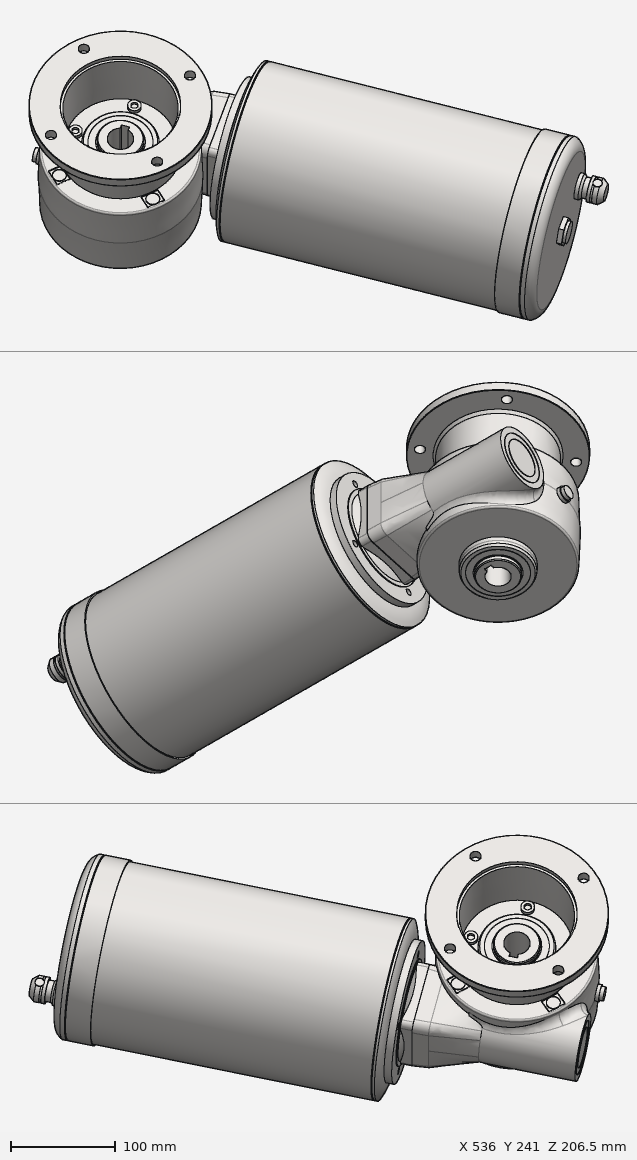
import cadquery as cq
import math


FLANGE_D = 175.0
FLANGE_TOP = 116.0
FLANGE_THICK = 11.0
FLANGE_BOLT_CIRCLE_D = 150.0
FLANGE_HOLE_D = 10.5
FLANGE_CHAMFER = 0.5
SPIGOT_D = 115.0
SPIGOT_DEPTH = 5.0
TUBE_TOP_R = 59.7
TUBE_BASE_R = 59.0
TUBE_COLLAR_R = 62.0
TUBE_COLLAR_DROP = 3.5
TUBE_BORE_TOP_R = 55.0
TUBE_BORE_BASE_R = 53.5
TUBE_FLOOR_Z = 52.0

HOUSING_MID_R = 78.7
HOUSING_END_R = 77.2
HOUSING_HALF_HEIGHT = 45.0
HOUSING_FILLET = 2.0

COVER_D = 75.0
COVER_Z = 56.0
COVER_TAPER_Z = 50.0
COVER_TAPER_R = 37.0
COVER_RIM_Z = 53.3
COVER_FACE_R = 35.5
SEAL_OUTER_D = 62.0
SEAL_INNER_D = 47.5
SEAL_DEPTH = 0.5
SHAFT_D = 45.0
SHAFT_Z = 61.0
SHAFT_CHAMFER = 1.0
SHAFT_BORE_D = 25.0
KEY_WIDTH = 8.0
KEY_TOP = 15.8

INNER_SCREW_CIRCLE_R = 45.0
INNER_SCREW_HEAD_D = 13.0
INNER_SCREW_TOP_Z = 56.0
INNER_SCREW_SOCKET_D = 7.0
SOCKET_DEPTH = 3.0
NOTCH_CIRCLE_R = 66.0
NOTCH_WIDTH = 18.0
NOTCH_LENGTH = 14.0
NOTCH_DEPTH = 1.5
NOTCH_SCREW_D = 13.4
NOTCH_SCREW_HEIGHT = 1.0

PLUG_D = 16.66
PLUG_ROOT_X = -70.0
PLUG_HEAD_X = -86.0
PLUG_FLANGE_X = -82.0
PLUG_HEAD_D = 14.0

MOTOR_Y = 63.0
WORM_R = 33.0
WORM_END_X = -79.5
WORM_BLEND_R = 10.0
WORM_CORE_HALF_HEIGHT = 60.0
WORM_BLEND_HALF_HEIGHT = 43.0
WORM_BLEND_END_X = 30.0
CAP_OUTER_R = 26.5
CAP_INNER_R = 20.0
CAP_GROOVE_DEPTH = 0.5
LOFT_START_X = 15.0
NECK_START_X = 63.0
NECK_SEAM_X = 79.0
NECK_START_HALF = 37.5
NECK_HALF = 38.5
NECK_REDUCED_HALF = 37.5
NECK_CORNER_R = 9.5
NECK_REDUCED_CORNER_R = 6.0
FLARE_START_X = 86.0
FLARE_START_R = 35.0
FLARE_BASE_X = 90.5
FLARE_R = 47.5
SHOULDER_R = 52.5

PLATE_X = 91.5
PLATE_R = 70.0
COVER_START_X = 99.0
COVER_ROUND_MID = (100.6, 80.5)
MOTOR_R = 89.0
MOTOR_EDGE_X = 104.0
SEAM_WIDTH = 1.0
SEAM_DEPTH = 0.4
FRONT_SEAM_X = 106.5
REAR_SEAM_X = 406.5
END_CAP_X = 382.0
END_CAP_R = 90.5
END_CAP_ROUND_X = 412.0
END_FACE_X = 420.5
END_FACE_R = 78.0
END_CAP_ROUND_MID = (418.0, 85.5)
PLATE_HOLE_OFFSET = 41.0
PLATE_HOLE_D = 7.0
PLATE_HOLE_DEPTH = 6.0

CONNECTOR_Y = 118.0
CONNECTOR_END_X = 448.5
CONNECTOR_R = 13.0
CONNECTOR_NECK_R = 10.5
CONNECTOR_TIP_R = 8.5
CONNECTOR_GROOVE_R = 12.5
CONNECTOR_COLLAR_X = 424.5
CONNECTOR_NECK_X = 427.0
CONNECTOR_RING_X = 432.5
CONNECTOR_GROOVE_X = 436.0
CONNECTOR_NUT_X = 438.0
CONNECTOR_TAPER_X = 443.0
CONNECTOR_PIN_X = 440.0
CONNECTOR_PIN_D = 9.0
HEX_ACROSS_FLATS = 26.0
HEX_HEIGHT = 5.0
HEX_CAP_R = 11.0
HEX_CAP_HEIGHT = 3.0


def disc(radius, z_low, z_high):
    """Cylinder on the output axis between two heights."""
    return cq.Workplane("XY").workplane(offset=z_low).circle(radius).extrude(z_high - z_low)


def revolve_z(points):
    """Revolve an (r, z) outline about the output axis."""
    return cq.Workplane("XZ").polyline(points).close().revolve(360, (0, 0, 0), (0, 1, 0))


def x_plane(x, y=MOTOR_Y):
    """Workplane facing +X, centred on an axis parallel to the motor axis."""
    return cq.Workplane("YZ", origin=(x, y, 0))


def rod(radius, x_low, x_high, y=MOTOR_Y):
    """Cylinder along X between two stations, its seam on the +Z side."""
    plane = cq.Plane(origin=(x_low, y, 0), xDir=(0, 0, 1), normal=(1, 0, 0))
    return cq.Workplane(plane).circle(radius).extrude(x_high - x_low)


def revolve_x(points, y=MOTOR_Y):
    """Revolve an (x, r) outline about an axis parallel to the motor axis."""
    profile = cq.Workplane("XY", origin=(0, y, 0)).polyline(points).close()
    return profile.revolve(360, (0, 0, 0), (1, 0, 0))


def polar_points(radius, start_angle):
    """Four equally spaced points on a circle about the output axis."""
    angles = [math.radians(start_angle + 90 * i) for i in range(4)]
    return [(radius * math.cos(a), radius * math.sin(a)) for a in angles]


def make_housing():
    """Gear housing, widest at the parting plane, with rounded rims."""
    h = HOUSING_HALF_HEIGHT
    housing = revolve_z([
        (0, -h),
        (HOUSING_END_R, -h),
        (HOUSING_MID_R, 0),
        (HOUSING_END_R, h),
        (0, h),
    ])
    return housing.faces("<Z or >Z").edges().fillet(HOUSING_FILLET)


def make_worm_housing():
    """Cylinder around the worm, filleted against the gear housing."""
    core = disc(HOUSING_END_R, -WORM_CORE_HALF_HEIGHT, WORM_CORE_HALF_HEIGHT)
    blended = core.union(rod(WORM_R, WORM_END_X, PLATE_X))
    crossing = blended.edges("not(%CIRCLE or %LINE)")
    blended = crossing.fillet(WORM_BLEND_R)
    keep_length = WORM_BLEND_END_X - WORM_END_X
    keep = cq.Workplane("XY").box(
        keep_length, 2 * FLANGE_D, 2 * WORM_BLEND_HALF_HEIGHT, centered=(False, True, True)
    )
    blended = blended.intersect(keep.translate((WORM_END_X, 0, 0)))
    cap_groove = rod(CAP_OUTER_R, WORM_END_X, WORM_END_X + CAP_GROOVE_DEPTH)
    cap_groove = cap_groove.cut(rod(CAP_INNER_R, WORM_END_X, WORM_END_X + CAP_GROOVE_DEPTH))
    return blended.cut(cap_groove)


def square_sketch(half, corner_r=NECK_CORNER_R, x_offset=0.0):
    """Rounded square, optionally shifted along its normal."""
    square = cq.Sketch().rect(2 * half, 2 * half).vertices().fillet(corner_r)
    return square.moved(cq.Location(cq.Vector(0, 0, x_offset)))


def make_neck():
    """Square neck growing out of the worm housing, ending in a round shoulder."""
    worm_circle = cq.Sketch().circle(WORM_R)
    neck = x_plane(LOFT_START_X).placeSketch(
        worm_circle,
        square_sketch(NECK_START_HALF, x_offset=NECK_START_X - LOFT_START_X),
    ).loft()
    block_length = NECK_SEAM_X - NECK_START_X
    block = x_plane(NECK_START_X).placeSketch(
        square_sketch(NECK_START_HALF),
        square_sketch(NECK_HALF, x_offset=block_length),
    ).loft()
    reduced_length = PLATE_X - NECK_SEAM_X
    reduced_square = square_sketch(NECK_REDUCED_HALF, NECK_REDUCED_CORNER_R)
    reduced = x_plane(NECK_SEAM_X).placeSketch(reduced_square).extrude(reduced_length)
    shoulder = revolve_x([
        (FLARE_START_X, 0),
        (FLARE_START_X, FLARE_START_R),
        (FLARE_BASE_X, FLARE_R),
        (FLARE_BASE_X, SHOULDER_R),
        (PLATE_X, SHOULDER_R),
        (PLATE_X, 0),
    ])
    return neck.union(block).union(reduced).union(shoulder)


def make_motor():
    """Motor tube with its front plate and rounded end cap."""
    profile = (
        cq.Workplane("XY", origin=(0, MOTOR_Y, 0))
        .moveTo(PLATE_X, 0)
        .lineTo(PLATE_X, PLATE_R)
        .lineTo(COVER_START_X, PLATE_R)
        .threePointArc(COVER_ROUND_MID, (MOTOR_EDGE_X, MOTOR_R))
        .lineTo(END_CAP_X, MOTOR_R)
        .lineTo(END_CAP_X, END_CAP_R)
        .lineTo(END_CAP_ROUND_X, END_CAP_R)
        .threePointArc(END_CAP_ROUND_MID, (END_FACE_X, END_FACE_R))
        .lineTo(END_FACE_X, 0)
        .close()
    )
    motor = profile.revolve(360, (0, 0, 0), (1, 0, 0))
    for seam_x, radius in ((FRONT_SEAM_X, MOTOR_R), (REAR_SEAM_X, END_CAP_R)):
        ring = rod(radius + SEAM_DEPTH, seam_x, seam_x + SEAM_WIDTH)
        ring = ring.cut(rod(radius - SEAM_DEPTH, seam_x, seam_x + SEAM_WIDTH))
        motor = motor.cut(ring)
    spacing = 2 * PLATE_HOLE_OFFSET
    holes = (
        x_plane(PLATE_X)
        .rarray(spacing, spacing, 2, 2)
        .circle(PLATE_HOLE_D / 2)
        .extrude(PLATE_HOLE_DEPTH)
    )
    return motor.cut(holes)


def make_connector():
    """Turned cable connector with a round key button on its top side."""
    connector = revolve_x([
        (END_FACE_X, 0),
        (END_FACE_X, CONNECTOR_R),
        (CONNECTOR_COLLAR_X, CONNECTOR_R),
        (CONNECTOR_NECK_X, CONNECTOR_NECK_R),
        (CONNECTOR_RING_X, CONNECTOR_NECK_R),
        (CONNECTOR_RING_X, CONNECTOR_R),
        (CONNECTOR_GROOVE_X, CONNECTOR_R),
        (CONNECTOR_GROOVE_X, CONNECTOR_GROOVE_R),
        (CONNECTOR_NUT_X, CONNECTOR_GROOVE_R),
        (CONNECTOR_NUT_X, CONNECTOR_R),
        (CONNECTOR_TAPER_X, CONNECTOR_R),
        (CONNECTOR_END_X, CONNECTOR_TIP_R),
        (CONNECTOR_END_X, 0),
    ], CONNECTOR_Y)
    button = cq.Workplane("XY", origin=(CONNECTOR_PIN_X, CONNECTOR_Y, 0))
    button = button.circle(CONNECTOR_PIN_D / 2).extrude(CONNECTOR_R)
    return connector.union(button)


def make_hex_plug():
    """Hexagonal plug with a round cap at the centre of the motor end."""
    corner_diameter = HEX_ACROSS_FLATS / math.cos(math.pi / 6)
    plug = x_plane(END_FACE_X).polygon(6, corner_diameter).extrude(HEX_HEIGHT)
    cap_x = END_FACE_X + HEX_HEIGHT
    return plug.union(rod(HEX_CAP_R, cap_x, cap_x + HEX_CAP_HEIGHT))


def make_flange():
    """Output flange on its drafted tube, open at the top."""
    flange_bottom = FLANGE_TOP - FLANGE_THICK
    collar_bottom = flange_bottom - TUBE_COLLAR_DROP
    flange = disc(FLANGE_D / 2, flange_bottom, FLANGE_TOP)
    flange = flange.faces("<Z or >Z").edges().chamfer(FLANGE_CHAMFER)
    tube = revolve_z([
        (0, HOUSING_HALF_HEIGHT),
        (TUBE_BASE_R, HOUSING_HALF_HEIGHT),
        (TUBE_TOP_R, collar_bottom),
        (TUBE_COLLAR_R, flange_bottom),
        (0, flange_bottom),
    ])
    spigot_bottom = FLANGE_TOP - SPIGOT_DEPTH
    bore = revolve_z([
        (0, TUBE_FLOOR_Z),
        (TUBE_BORE_BASE_R, TUBE_FLOOR_Z),
        (TUBE_BORE_TOP_R, spigot_bottom),
        (SPIGOT_D / 2, spigot_bottom),
        (SPIGOT_D / 2, FLANGE_TOP),
        (0, FLANGE_TOP),
    ])
    bolt_holes = (
        cq.Workplane("XY", origin=(0, 0, flange_bottom))
        .pushPoints(polar_points(FLANGE_BOLT_CIRCLE_D / 2, 45))
        .circle(FLANGE_HOLE_D / 2)
        .extrude(FLANGE_THICK)
    )
    return flange.union(tube).cut(bore).cut(bolt_holes)


def make_inner_screws():
    """Socket head screws on the tube floor around the bearing cover."""
    places = polar_points(INNER_SCREW_CIRCLE_R, 0)
    height = INNER_SCREW_TOP_Z - TUBE_FLOOR_Z
    heads = cq.Workplane("XY", origin=(0, 0, TUBE_FLOOR_Z)).pushPoints(places)
    heads = heads.circle(INNER_SCREW_HEAD_D / 2).extrude(height)
    sockets = cq.Workplane("XY", origin=(0, 0, INNER_SCREW_TOP_Z)).pushPoints(places)
    sockets = sockets.circle(INNER_SCREW_SOCKET_D / 2).extrude(-SOCKET_DEPTH)
    return heads.cut(sockets)


def make_bearing_cover(side):
    """Bearing cover and shaft end above (side = 1) or below (side = -1)."""
    shaft_r = SHAFT_D / 2
    seal_z = COVER_Z - SEAL_DEPTH
    outline = [
        (0, 0),
        (COVER_D / 2, 0),
        (COVER_D / 2, COVER_TAPER_Z),
        (COVER_TAPER_R, COVER_RIM_Z),
        (COVER_FACE_R, COVER_Z),
        (SEAL_OUTER_D / 2, COVER_Z),
        (SEAL_OUTER_D / 2, seal_z),
        (SEAL_INNER_D / 2, seal_z),
        (SEAL_INNER_D / 2, COVER_Z),
        (shaft_r, COVER_Z),
        (shaft_r, SHAFT_Z - SHAFT_CHAMFER),
        (shaft_r - SHAFT_CHAMFER, SHAFT_Z),
        (0, SHAFT_Z),
    ]
    return revolve_z([(r, side * z) for r, z in outline])


def make_shaft_bore():
    """Through bore of the hollow shaft with its keyway toward +Y."""
    bore = disc(SHAFT_BORE_D / 2, -SHAFT_Z, SHAFT_Z)
    keyway = cq.Workplane("XY").box(KEY_WIDTH, KEY_TOP, 2 * SHAFT_Z, centered=(True, False, True))
    return bore.union(keyway)


def make_screw_notches():
    """Material cut for shallow rim notches, sparing the screw heads in them."""
    notch_floor = cq.Workplane("XY", origin=(0, 0, HOUSING_HALF_HEIGHT - NOTCH_DEPTH))
    notches = (
        notch_floor
        .polarArray(NOTCH_CIRCLE_R, 45, 360, 4)
        .rect(NOTCH_LENGTH, NOTCH_WIDTH)
        .extrude(NOTCH_DEPTH)
    )
    screws = notch_floor.pushPoints(polar_points(NOTCH_CIRCLE_R, 45))
    screws = screws.circle(NOTCH_SCREW_D / 2).extrude(NOTCH_SCREW_HEIGHT)
    return notches.cut(screws)


def make_side_plug():
    """Round plug with a collar on the -X side of the housing."""
    collar = rod(PLUG_D / 2, PLUG_FLANGE_X, PLUG_ROOT_X, 0)
    return collar.union(rod(PLUG_HEAD_D / 2, PLUG_HEAD_X, PLUG_FLANGE_X, 0))


result = make_housing().cut(make_screw_notches())
result = result.union(make_worm_housing()).union(make_neck())
result = result.union(make_motor()).union(make_connector()).union(make_hex_plug())
result = result.union(make_side_plug()).union(make_flange())
result = result.union(make_bearing_cover(1)).union(make_bearing_cover(-1))
result = result.union(make_inner_screws()).cut(make_shaft_bore())